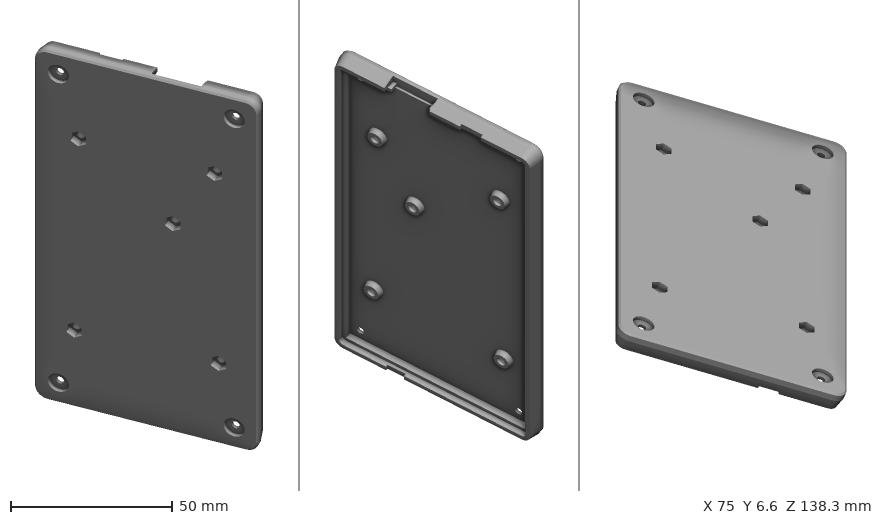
import cadquery as cq
import math

width = 75.0
height = 138.3
depth = 6.6

corner_radius = 4.3
front_chamfer = 0.6
floor_thickness = 2.5
straight_depth = 2.6
draft_inset = 1.1
draft_angle = math.degrees(math.atan2(draft_inset, depth - straight_depth))

wall = 4.2
lid_depth = 2.0
lid_wall = 2.8
ledge_y = depth - lid_depth

screw_x = 29.5
screw_z = 61.1
screw_hole = 2.6
screw_head = 7.0
screw_head_depth = 1.4

nut_places = [(-22.8, 37.5), (22.8, 37.5), (8.9, 13.4), (-24.2, -38.7), (24.2, -37.4)]
nut_sides = 6
nut_flats = 5.1
nut_depth = 2.6
nut_hole = 3.0
boss_base_radius = 3.3
boss_top_radius = 2.8
boss_top_y = 4.4

port_x = 9.4
port_y = 1.8
port_width = 16.7
port_recess = lid_wall
port_inner_width = 14.1

notch_depth = 1.0
top_notch_x = -14.2
top_notch_width = 7.9
bottom_notch_x = 13.8
bottom_notch_width = 6.8


def plane_at(y):
    """XZ plane at the given Y, with its normal along +Y; its local x and y run along Z and X."""
    return cq.Plane(origin=(0, y, 0), xDir=(0, 0, 1), normal=(0, 1, 0))


def rounded_plate(y, thickness, inset=0.0, taper=0.0):
    """Rounded rectangle, inset from the outline, extruded along +Y."""
    outline = cq.Sketch().rect(height - 2 * inset, width - 2 * inset)
    if corner_radius > inset:
        outline = outline.vertices().fillet(corner_radius - inset)
    return cq.Workplane(plane_at(y)).placeSketch(outline).extrude(thickness, taper=taper)


def cylinder(x, z, y, diameter, length):
    """Cylinder along +Y, starting at the given Y."""
    return cq.Workplane(plane_at(y)).center(z, x).circle(diameter / 2).extrude(length)


def rim_cut(x, y, z, size_x, size_z):
    """Box open to +Y, centred on x and z."""
    return cq.Workplane("XY").box(size_x, depth, size_z, centered=(True, False, True)).translate((x, y, z))


def nut_boss(x, z):
    """Conical boss rising from the floor."""
    base = cq.Workplane(plane_at(floor_thickness)).center(z, x).circle(boss_base_radius)
    return base.workplane(offset=boss_top_y - floor_thickness).circle(boss_top_radius).loft()


def nut_pocket(x, z):
    """Hexagonal prism sunk from the front face, with a corner pointing up."""
    corner_to_corner = nut_flats / math.cos(math.pi / nut_sides)
    return cq.Workplane(plane_at(0)).center(z, x).polygon(nut_sides, corner_to_corner).extrude(nut_depth)


front_part = rounded_plate(0, straight_depth).faces("<Y").chamfer(front_chamfer)
back_part = rounded_plate(straight_depth, depth - straight_depth, taper=draft_angle)
tray = front_part.union(back_part)

tray = tray.cut(rounded_plate(floor_thickness, depth, inset=wall))
tray = tray.cut(rounded_plate(ledge_y, depth, inset=lid_wall))

for x in (-screw_x, screw_x):
    for z in (-screw_z, screw_z):
        tray = tray.cut(cylinder(x, z, 0, screw_hole, depth))
        tray = tray.cut(cylinder(x, z, 0, screw_head, screw_head_depth))

for x, z in nut_places:
    tray = tray.union(nut_boss(x, z))
    tray = tray.cut(nut_pocket(x, z))
    tray = tray.cut(cylinder(x, z, 0, nut_hole, depth))

tray = tray.cut(rim_cut(port_x, port_y, height / 2, port_width, 2 * port_recess))
tray = tray.cut(rim_cut(port_x, port_y, height / 2, port_inner_width, 2 * wall))

tray = tray.cut(rim_cut(top_notch_x, depth - notch_depth, height / 2, top_notch_width, 2 * wall))
tray = tray.cut(rim_cut(bottom_notch_x, depth - notch_depth, -height / 2, bottom_notch_width, 2 * wall))

result = tray